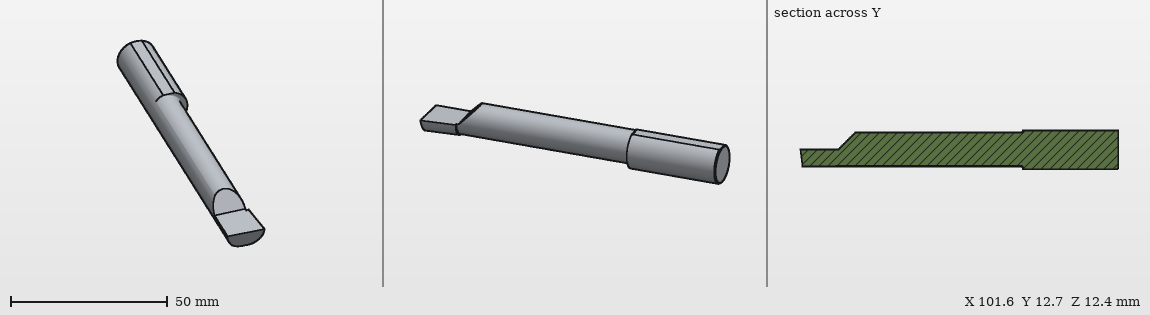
import cadquery as cq
import math

length = 101.6
shank_radius = 6.35
shank_length = 30.5
flat_height = 6.05
shank_chamfer = 0.4

neck_radius = 5.5
neck_center_y = -1.3
neck_fillet = 0.5

face_height = 0.0
face_start = 89.2
tooth_start = 89.9
tooth_start_y = 5.0
tooth_tip_y = 6.1
side_lean = 0.4
relief_angle = 7.0


def make_bar():
    """Full-length round with a chamfered rear end."""
    bar = cq.Workplane("YZ").circle(shank_radius).extrude(length)
    return bar.faces("<X").chamfer(shank_chamfer)


def make_shank_and_neck_envelope():
    """Room for the shank, then the offset neck with a fillet at its root."""
    shank_room = cq.Workplane("YZ").circle(2 * shank_radius).extrude(shank_length)
    root_end = shank_length + neck_fillet
    root_radius = neck_radius + neck_fillet
    arc_inset = neck_fillet * (1 - math.sqrt(0.5))
    neck = (
        cq.Workplane("XY")
        .moveTo(shank_length, neck_center_y)
        .lineTo(shank_length, neck_center_y + root_radius)
        .threePointArc(
            (shank_length + arc_inset, neck_center_y + neck_radius + arc_inset),
            (root_end, neck_center_y + neck_radius),
        )
        .lineTo(length, neck_center_y + neck_radius)
        .lineTo(length, neck_center_y)
        .close()
        .revolve(360, (0, neck_center_y, 0), (1, neck_center_y, 0))
    )
    return shank_room.union(neck)


def make_tooth():
    """Round of neck size that drifts towards +Y on its way to the tip."""
    return (
        cq.Workplane("YZ", origin=(tooth_start, 0, 0))
        .center(tooth_start_y - neck_radius, 0)
        .circle(neck_radius)
        .workplane(offset=length - tooth_start)
        .center(tooth_tip_y - tooth_start_y, 0)
        .circle(neck_radius)
        .loft(ruled=True)
    )


def make_flat_cutter():
    """Block above the shank flat."""
    return (
        cq.Workplane("XY", origin=(0, 0, flat_height))
        .rect(2 * shank_length, 2 * shank_radius)
        .extrude(shank_radius)
    )


def make_face_cutter():
    """Prism above the cutting face and its 45 degree run-out."""
    rise = shank_radius - face_height
    return (
        cq.Workplane("XZ")
        .polyline([
            (face_start, face_height),
            (length, face_height),
            (length, shank_radius),
            (face_start - rise, shank_radius),
        ])
        .close()
        .extrude(shank_radius, both=True)
    )


def make_end_cutter():
    """Block beyond the end face, which leans back downwards and towards -Y."""
    lean = side_lean / (tooth_tip_y + shank_radius)
    normal = cq.Vector(1, -lean, -math.tan(math.radians(relief_angle)))
    end_plane = cq.Plane(origin=(length, tooth_tip_y, face_height), normal=normal)
    return cq.Workplane(end_plane).circle(3 * shank_radius).extrude(shank_radius)


result = (
    make_bar()
    .intersect(make_shank_and_neck_envelope())
    .union(make_tooth().intersect(make_bar()))
    .cut(make_flat_cutter())
    .cut(make_face_cutter())
    .cut(make_end_cutter())
)